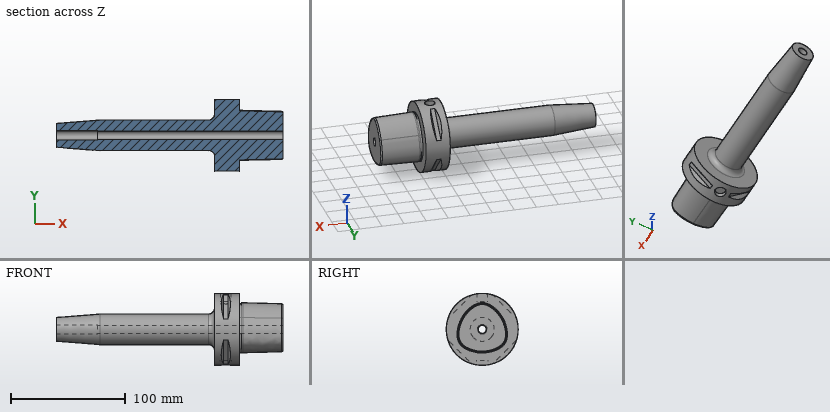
import cadquery as cq
import math


flange_diameter = 63.0
flange_length = 22.0
slot_center_x = -12.0
slot_floor_width = 3.8
slot_floor_distance = 27.8
slot_flank_angle = 30.0
slot_count = 4
orientation_hole_diameter = 9.0
orientation_hole_depth = 7.0
drill_point_angle = 118.0
chip_pocket_diameter = 10.0
chip_pocket_depth = 4.5

shank_length = 138.0
shank_diameter = 27.0
shank_fillet = 5.0
nose_length = 38.0
nose_tip_diameter = 21.0

tool_bore_diameter = 8.0
tool_bore_depth = 36.0
through_hole_diameter = 6.92
bore_chamfer = 0.25

taper_length = 38.0
polygon_diameter = 44.0
polygon_eccentricity = 1.4
taper_ratio = 1 / 20
lobe_count = 3
points_per_lobe = 13
collar_length = 1.8
taper_start_x = 3.0
relief_length = 1.5
relief_diameter = 44.8
end_chamfer = 1.3

flange_radius = flange_diameter / 2
flange_front_x = -flange_length
tip_x = flange_front_x - shank_length


def turned_body():
    """Nose, shank, root fillet and flange as one revolved profile."""
    shank_radius = shank_diameter / 2
    fillet_start_x = flange_front_x - shank_fillet
    fillet_mid_x = fillet_start_x + shank_fillet * math.sin(math.radians(45))
    fillet_mid_radius = shank_radius + shank_fillet * (1 - math.cos(math.radians(45)))
    return (
        cq.Workplane("XY")
        .moveTo(tip_x, 0)
        .lineTo(tip_x, nose_tip_diameter / 2)
        .lineTo(tip_x + nose_length, shank_radius)
        .lineTo(fillet_start_x, shank_radius)
        .threePointArc(
            (fillet_mid_x, fillet_mid_radius),
            (flange_front_x, shank_radius + shank_fillet),
        )
        .lineTo(flange_front_x, flange_radius)
        .lineTo(0, flange_radius)
        .lineTo(0, 0)
        .close()
        .revolve(360, (0, 0, 0), (1, 0, 0))
    )


def polygon_point(mean_diameter, angle):
    """Point (Y, Z) of the lobed curve whose outward normal has the given angle, one lobe at +Z."""
    lobe_phase = lobe_count * (angle - math.pi / 2)
    reach = mean_diameter / 2 + polygon_eccentricity * math.cos(lobe_phase)
    shift = -lobe_count * polygon_eccentricity * math.sin(lobe_phase)
    y = reach * math.cos(angle) - shift * math.sin(angle)
    z = reach * math.sin(angle) + shift * math.cos(angle)
    return (y, z)


def polygon_wire(x, mean_diameter):
    """Closed lobed section at x, one spline per lobe, joined at the flat sides."""
    lobe_angle = 2 * math.pi / lobe_count
    edges = []
    for lobe in range(lobe_count):
        start_angle = math.pi / 2 + (lobe - 0.5) * lobe_angle
        points = []
        tangents = []
        for step in range(points_per_lobe):
            angle = start_angle + lobe_angle * step / (points_per_lobe - 1)
            y, z = polygon_point(mean_diameter, angle)
            points.append(cq.Vector(x, y, z))
            tangents.append(cq.Vector(0, -math.sin(angle), math.cos(angle)))
        edges.append(cq.Edge.makeSpline(points, [tangents[0], tangents[-1]]))
    return cq.Wire.assembleEdges(edges)


def polygon_taper():
    """Lobed collar and taper, with the lobes relieved at the flange and the free end chamfered."""
    sections = [
        polygon_wire(0, polygon_diameter),
        polygon_wire(collar_length, polygon_diameter),
        polygon_wire(taper_start_x, polygon_diameter - taper_ratio * taper_start_x),
        polygon_wire(taper_length, polygon_diameter - taper_ratio * taper_length),
    ]
    taper = cq.Workplane(obj=cq.Solid.makeLoft(sections, True))
    taper = taper.faces(">X").chamfer(end_chamfer, end_chamfer / 2)
    relief = (
        cq.Workplane("YZ")
        .circle(flange_radius)
        .circle(relief_diameter / 2)
        .extrude(relief_length)
    )
    return taper.cut(relief)


def gripper_slots():
    """Straight trapezoidal slots across the flange rim, halfway between the Y and Z axes."""
    depth = flange_radius - slot_floor_distance
    half_floor = slot_floor_width / 2
    half_top = half_floor + depth * math.tan(math.radians(slot_flank_angle))
    slot = (
        cq.Workplane("XZ")
        .moveTo(slot_center_x - half_floor, slot_floor_distance)
        .lineTo(slot_center_x + half_floor, slot_floor_distance)
        .lineTo(slot_center_x + half_top, flange_radius)
        .lineTo(slot_center_x - half_top, flange_radius)
        .close()
        .extrude(flange_radius, both=True)
    )
    slots = cq.Workplane("XY")
    for index in range(slot_count):
        angle = (index + 0.5) * 360 / slot_count
        slots = slots.add(slot.rotate((0, 0, 0), (1, 0, 0), angle))
    return slots.combine()


def orientation_hole():
    """Radial drilled hole with a conical bottom in the top of the flange."""
    radius = orientation_hole_diameter / 2
    wall_bottom_z = flange_radius - orientation_hole_depth
    point_depth = radius / math.tan(math.radians(drill_point_angle / 2))
    return (
        cq.Workplane("XZ", origin=(slot_center_x, 0, 0))
        .moveTo(0, wall_bottom_z - point_depth)
        .lineTo(radius, wall_bottom_z)
        .lineTo(radius, flange_radius)
        .lineTo(0, flange_radius)
        .close()
        .revolve(360, (0, 0, 0), (0, 1, 0))
    )


def chip_pocket():
    """Flat-bottomed round pocket for a data chip in the underside of the flange."""
    return (
        cq.Workplane("XY", origin=(slot_center_x, 0, -flange_radius))
        .circle(chip_pocket_diameter / 2)
        .extrude(chip_pocket_depth)
    )


def bore():
    """Tool bore with a chamfered mouth, continued by a narrower hole through the whole part."""
    tool_radius = tool_bore_diameter / 2
    hole_radius = through_hole_diameter / 2
    return (
        cq.Workplane("XY")
        .moveTo(tip_x, 0)
        .lineTo(tip_x, tool_radius + bore_chamfer)
        .lineTo(tip_x + bore_chamfer, tool_radius)
        .lineTo(tip_x + tool_bore_depth, tool_radius)
        .lineTo(tip_x + tool_bore_depth, hole_radius)
        .lineTo(taper_length, hole_radius)
        .lineTo(taper_length, 0)
        .close()
        .revolve(360, (0, 0, 0), (1, 0, 0))
    )


result = (
    turned_body()
    .union(polygon_taper())
    .cut(gripper_slots())
    .cut(orientation_hole())
    .cut(chip_pocket())
    .cut(bore())
)